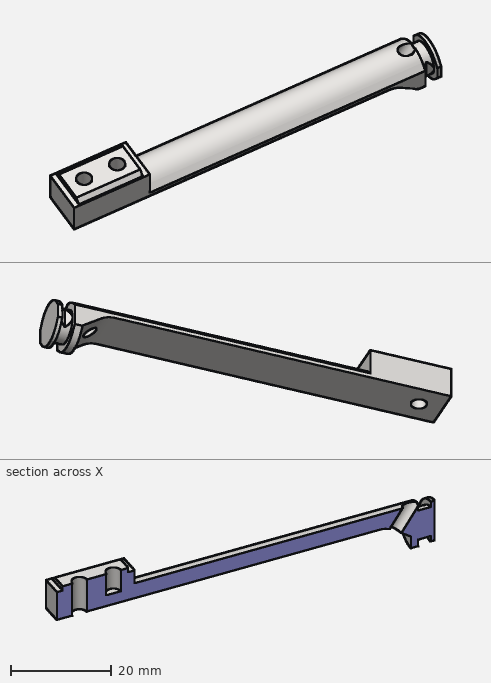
import cadquery as cq
import math

length = 84.4
width = 9.6
height = 14.3

block_length = 17.4
underside_z = 6.5
ridge_height = 1.0
ridge_base_width = 9.0
ridge_top_width = 6.9
ridge_front_y = 1.3
ridge_length = 14.7
screw_radius = 1.6
through_screw_y = 5.1
blind_screw_y = 12.7
blind_screw_depth = 5.1

arm_radius = 5.11
axis_z = arm_radius
arm_facet_angle = 45.0
foot_length = 1.7
foot_corner_z = 2.8
slope_angle = 35.0
slope_blend_radius = 5.1

flange_radius = width / 2
flange_thickness = 0.9
flange_facet_angle = 36.0
neck_length = 2.7
neck_radius = 3.55
notch_half_width = 2.8

cord_hole_radius = 1.5
cord_hole_top_y = 79.2

block_top_z = height - ridge_height
arm_end_y = length - flange_thickness - neck_length
foot_front_y = arm_end_y - foot_length


def along_y(start_y):
    """Sketch plane facing +Y, centred on the arm axis; its local x points to -X."""
    return cq.Workplane(cq.Plane((0, start_y, axis_z), (-1, 0, 0), (0, 1, 0)))


def faceted_bar(radius, facet_angle, start_y, bar_length):
    """Round bar with flat sides, joined to the round by tangent facets."""
    angle = math.radians(facet_angle)
    side = width / 2
    tangent_x = radius * math.cos(angle)
    tangent_z = radius * math.sin(angle)
    corner_z = (radius - side * math.cos(angle)) / math.sin(angle)
    return (
        along_y(start_y)
        .moveTo(side, -corner_z)
        .lineTo(side, corner_z)
        .lineTo(tangent_x, tangent_z)
        .threePointArc((0, radius), (-tangent_x, tangent_z))
        .lineTo(-side, corner_z)
        .lineTo(-side, -corner_z)
        .lineTo(-tangent_x, -tangent_z)
        .threePointArc((0, -radius), (tangent_x, -tangent_z))
        .close()
        .extrude(bar_length)
    )


def make_block():
    block = cq.Workplane("XY").box(
        width, block_length, block_top_z - underside_z, centered=(True, False, False)
    ).translate((0, 0, underside_z))
    ridge = (
        along_y(ridge_front_y)
        .polyline([
            (-ridge_base_width / 2, block_top_z - axis_z),
            (ridge_base_width / 2, block_top_z - axis_z),
            (ridge_top_width / 2, height - axis_z),
            (-ridge_top_width / 2, height - axis_z),
        ])
        .close()
        .extrude(ridge_length)
    )
    return block.union(ridge)


def make_arm():
    """Faceted bar trimmed to a thin arm that slopes down to the foot."""
    bar = faceted_bar(arm_radius, arm_facet_angle, 0, arm_end_y)
    angle = math.radians(slope_angle)
    slope_top_y = foot_front_y - (underside_z - foot_corner_z) / math.tan(angle)
    blend = slope_blend_radius * math.tan(angle / 2)
    blend_mid = (
        slope_top_y - blend + slope_blend_radius * math.sin(angle / 2),
        underside_z - slope_blend_radius * (1 - math.cos(angle / 2)),
    )
    blend_end = (
        slope_top_y + blend * math.cos(angle),
        underside_z - blend * math.sin(angle),
    )
    envelope = (
        cq.Workplane("YZ")
        .moveTo(0, height)
        .lineTo(0, underside_z)
        .lineTo(slope_top_y - blend, underside_z)
        .threePointArc(blend_mid, blend_end)
        .lineTo(foot_front_y, foot_corner_z)
        .lineTo(foot_front_y, 0)
        .lineTo(arm_end_y, 0)
        .lineTo(arm_end_y, height)
        .close()
        .extrude(width / 2, both=True)
    )
    return bar.intersect(envelope)


def make_neck():
    """Round neck with a vertical V-notch across its full length on each side."""
    neck = along_y(arm_end_y).circle(neck_radius).extrude(neck_length)
    for side in (-1, 1):
        notch = (
            cq.Workplane("XY")
            .polyline([
                (side * neck_radius, arm_end_y),
                (side * notch_half_width, arm_end_y + neck_length / 2),
                (side * neck_radius, arm_end_y + neck_length),
            ])
            .close()
            .extrude(2 * axis_z)
        )
        neck = neck.cut(notch)
    return neck


def make_screw_holes():
    through = (
        cq.Workplane("XY", origin=(0, through_screw_y, 0))
        .circle(screw_radius)
        .extrude(height)
    )
    blind = (
        cq.Workplane("XY", origin=(0, blind_screw_y, height))
        .circle(screw_radius)
        .extrude(-blind_screw_depth)
    )
    return through.union(blind)


def make_cord_hole():
    angle = math.radians(slope_angle)
    axis = cq.Vector(0, -math.sin(angle), -math.cos(angle))
    top = cq.Vector(0, cord_hole_top_y, 2 * arm_radius)
    start = top - axis * arm_radius
    return cq.Workplane(cq.Solid.makeCylinder(cord_hole_radius, 3 * arm_radius, start, axis))


flange = faceted_bar(flange_radius, flange_facet_angle, length - flange_thickness, flange_thickness)
result = (
    make_arm()
    .union(make_block())
    .union(make_neck())
    .union(flange)
    .cut(make_screw_holes())
    .cut(make_cord_hole())
)